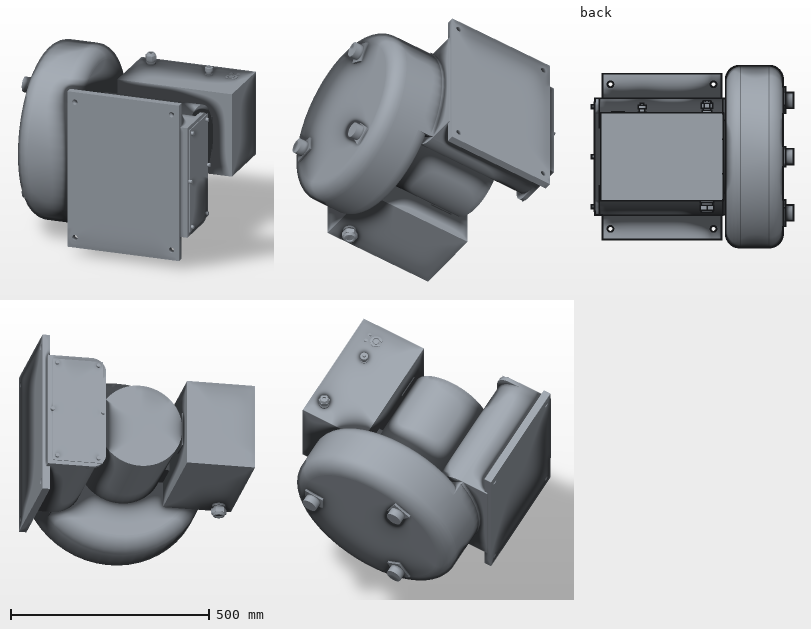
import cadquery as cq
import math


drum_radius = 230.0
drum_length = 145.0
drum_rounding = 36.5
outlet_half_angle = 39.2
outlet_inner_radius = 144.0

foot_count = 3
foot_circle_radius = 164.0
foot_diameter = 40.0
foot_height = 26.0
pad_thickness = 6.0
pad_inner_radius = 137.5
pad_outer_radius = 188.5
pad_inner_width = 39.5
pad_outer_width = 50.0

neck_diameter = 184.0
motor_diameter = 218.0
motor_start = 149.5
motor_end = 409.5

silencer_half_height = 147.5
silencer_inner_y = -100.5
silencer_outer_y = -250.5
silencer_start = 153.0
silencer_end = 464.0
silencer_rounding = 74.0
collar_radius = 232.5
cap_thickness = 11.0
cap_rounding = 36.5
cap_end = silencer_end + cap_thickness

cover_thickness = 2.0
cover_half_height = 137.5
cover_inner_y = -109.0
cover_outer_y = -237.5
bolt_tip_x = 484.0
bolt_diameter = 10.0
bolt_center_y = -174.0
bolt_corner_z = 126.0
bolt_corner_offset = 53.0
bolt_middle_offset = 65.0
bolt_rows = (
    (-bolt_corner_z, bolt_corner_offset),
    (0.0, bolt_middle_offset),
    (bolt_corner_z, bolt_corner_offset),
)

plate_start = 155.5
plate_length = 300.5
plate_height = 418.5
plate_outer_y = -260.5
plate_thickness = 19.0
plate_hole_diameter = 14.0
plate_hole_pitch_x = 260.0
plate_hole_pitch_z = 365.0

box_start = 152.0
box_length = 308.5
box_inner_y = 111.0
box_outer_y = 285.5
box_half_height = 111.0

bracket_half_height = 43.5
front_bracket_length = 85.0
front_bracket_y = 99.0
rear_bracket_length = 62.0
rear_bracket_y = 108.0

gland_x = 192.0
gland_y = 246.5
gland_collar_height = 5.5
gland_neck_height = 6.0
gland_nut_height = 12.5
gland_dome_height = 6.0
gland_hole_depth = 4.5
plug_x = 356.0
plug_steps = ((20.0, 1.5), (14.0, 9.0), (20.0, 9.0), (8.0, 5.0))
switch_x = 416.5
switch_y = 224.5
switch_ring_outer = 30.5
switch_ring_inner = 20.0
switch_button_diameter = 14.0
switch_gap = 11.0
switch_height = 2.0
lamp_y = 249.0
lamp_pitch = 18.5
lamp_steps = ((10.0, 1.0), (6.5, 1.0))


def block(x, y, z):
    """Box spanning the given (low, high) ranges."""
    size = [high - low for low, high in (x, y, z)]
    return cq.Workplane("XY").box(*size, centered=False).translate((x[0], y[0], z[0]))


def rod(diameter, start, end, y=0.0, z=0.0):
    """Cylinder along X."""
    plane = cq.Workplane("YZ", origin=(start, y, z))
    return plane.circle(diameter / 2).extrude(end - start)


def outlet_sector(radius, start, end):
    """Ring sector on the -Y side, bounded by two planes through the drum axis."""
    angle = math.radians(outlet_half_angle)

    def edge_point(distance, side):
        return (-distance * math.cos(angle), side * distance * math.sin(angle))

    return (
        cq.Workplane("YZ", origin=(start, 0, 0))
        .moveTo(*edge_point(outlet_inner_radius, 1))
        .lineTo(*edge_point(radius, 1))
        .threePointArc((-radius, 0), edge_point(radius, -1))
        .lineTo(*edge_point(outlet_inner_radius, -1))
        .threePointArc((-outlet_inner_radius, 0), edge_point(outlet_inner_radius, 1))
        .close()
        .extrude(end - start)
    )


def drum():
    """Rounded disc whose rear rounding is filled in at the outlet."""
    shell = rod(2 * drum_radius, 0, drum_length).edges().fillet(drum_rounding)
    return shell.union(outlet_sector(drum_radius, drum_rounding, drum_length))


def foot():
    """Foot on the +Y side of the drum axis."""
    pad = (
        cq.Workplane("YZ", origin=(-pad_thickness, 0, 0))
        .moveTo(pad_inner_radius, -pad_inner_width / 2)
        .lineTo(pad_outer_radius, -pad_outer_width / 2)
        .lineTo(pad_outer_radius, pad_outer_width / 2)
        .lineTo(pad_inner_radius, pad_inner_width / 2)
        .close()
        .extrude(pad_thickness)
    )
    return pad.union(rod(foot_diameter, -foot_height, 0, y=foot_circle_radius))


def motor():
    neck = rod(neck_diameter, drum_length - drum_rounding, motor_start)
    return neck.union(rod(motor_diameter, motor_start, motor_end))


def silencer_section(start, end, rounding):
    """Housing slice with its two motor-side edges rounded."""
    slab = block(
        (start, end),
        (silencer_outer_y, silencer_inner_y),
        (-silencer_half_height, silencer_half_height),
    )
    return slab.edges("|X and >Y").fillet(rounding)


def silencer():
    collar = outlet_sector(collar_radius, drum_length, silencer_start)
    body = silencer_section(silencer_start, silencer_end, silencer_rounding)
    cap = silencer_section(silencer_end, cap_end, cap_rounding)
    cover = block(
        (cap_end, cap_end + cover_thickness),
        (cover_outer_y, cover_inner_y),
        (-cover_half_height, cover_half_height),
    )
    housing = collar.union(body).union(cap).union(cover)
    for z, offset in bolt_rows:
        for y in (bolt_center_y - offset, bolt_center_y + offset):
            housing = housing.union(rod(bolt_diameter, cap_end, bolt_tip_x, y, z))
    return housing


def mounting_plate():
    center_x = plate_start + plate_length / 2
    return (
        cq.Workplane("XZ", origin=(center_x, plate_outer_y + plate_thickness, 0))
        .rect(plate_length, plate_height)
        .rarray(plate_hole_pitch_x, plate_hole_pitch_z, 2, 2)
        .circle(plate_hole_diameter / 2)
        .extrude(plate_thickness)
    )


def control_box():
    height = (-box_half_height, box_half_height)
    case = block((box_start, box_start + box_length), (box_inner_y, box_outer_y), height)
    bracket_z = (-bracket_half_height, bracket_half_height)
    front = block(
        (motor_start, motor_start + front_bracket_length),
        (front_bracket_y, box_inner_y),
        bracket_z,
    )
    rear = block(
        (motor_end - rear_bracket_length, motor_end),
        (rear_bracket_y, box_inner_y),
        bracket_z,
    )
    return case.union(front).union(rear)


def stack(steps):
    """Coaxial discs, each (diameter, height), piled up from Z = 0."""
    pile = cq.Workplane("XY")
    level = 0.0
    for diameter, height in steps:
        disc = cq.Workplane("XY", origin=(0, 0, level)).circle(diameter / 2).extrude(height)
        pile = pile.union(disc)
        level += height
    return pile


def cable_gland(collar_diameter, neck_diameter, nut_width, dome_top_diameter, hole_diameter):
    """Gland on Z = 0: collar, neck, hexagon nut and tapered dome with a blind hole."""
    nut_base = gland_collar_height + gland_neck_height
    body = stack(((collar_diameter, gland_collar_height), (neck_diameter, gland_neck_height)))
    nut = (
        cq.Workplane("XY", origin=(0, 0, nut_base))
        .polygon(6, nut_width, circumscribed=True)
        .extrude(gland_nut_height)
    )
    dome = (
        cq.Workplane("XY", origin=(0, 0, nut_base + gland_nut_height))
        .circle(nut_width / 2)
        .workplane(offset=gland_dome_height)
        .circle(dome_top_diameter / 2)
        .loft()
    )
    gland = body.union(nut).union(dome)
    return gland.faces(">Z").workplane().hole(hole_diameter, gland_hole_depth)


def switch():
    """Low C-shaped ring, open towards -Y, around a round button on Z = 0."""
    ring = (
        cq.Workplane("XY")
        .circle(switch_ring_outer / 2)
        .circle(switch_ring_inner / 2)
        .extrude(switch_height)
    )
    gap = block(
        (-switch_gap / 2, switch_gap / 2),
        (-switch_ring_outer, 0),
        (0, switch_height),
    )
    return ring.cut(gap).union(stack(((switch_button_diameter, switch_height),)))


result = drum().union(motor()).union(silencer()).union(mounting_plate()).union(control_box())
for index in range(foot_count):
    result = result.union(foot().rotate((0, 0, 0), (1, 0, 0), index * 360 / foot_count))

box_top = box_half_height
upper_gland = cable_gland(
    collar_diameter=24.0,
    neck_diameter=18.0,
    nut_width=24.5,
    dome_top_diameter=18.0,
    hole_diameter=10.0,
).rotate((0, 0, 0), (0, 0, 1), 90)
lower_gland = cable_gland(
    collar_diameter=34.0,
    neck_diameter=28.0,
    nut_width=34.5,
    dome_top_diameter=28.0,
    hole_diameter=20.0,
).rotate((0, 0, 0), (1, 0, 0), 180)
result = result.union(upper_gland.translate((gland_x, gland_y, box_top)))
result = result.union(lower_gland.translate((gland_x, gland_y, -box_top)))

result = result.union(stack(plug_steps).translate((plug_x, switch_y, box_top)))
result = result.union(switch().translate((switch_x, switch_y, box_top)))
for side in (-1, 1):
    lamp_x = switch_x + side * lamp_pitch / 2
    result = result.union(stack(lamp_steps).translate((lamp_x, lamp_y, box_top)))